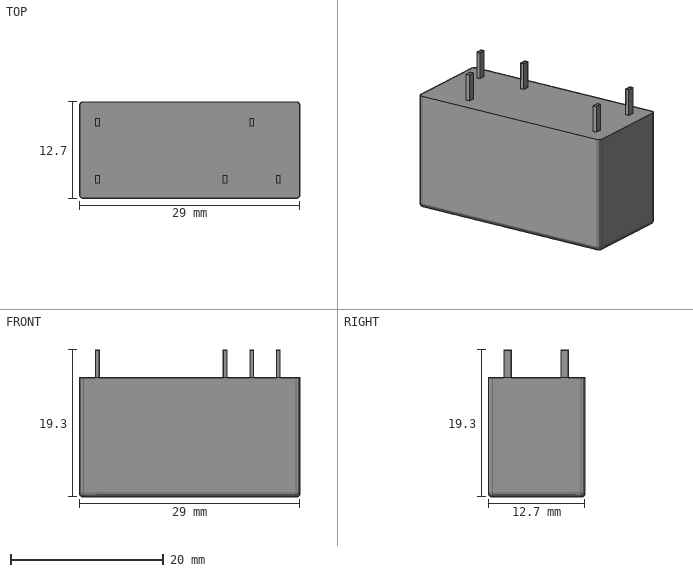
import cadquery as cq

case_length = 29.0
case_width = 12.7
case_height = 15.7
edge_radius = 0.5

pin_thickness = 0.5
pin_width = 1.0
pin_length = 3.6

row_spacing = 7.5
rear_row_inset = 2.68
rear_row_y = case_width / 2 - rear_row_inset
front_row_y = rear_row_y - row_spacing

coil_pin_inset = 2.35
coil_to_contact = 16.8
contact_pitch = 3.5
coil_x = -case_length / 2 + coil_pin_inset
first_contact_x = coil_x + coil_to_contact

pin_positions = [
    (coil_x, rear_row_y),
    (coil_x, front_row_y),
    (first_contact_x, front_row_y),
    (first_contact_x + contact_pitch, rear_row_y),
    (first_contact_x + 2 * contact_pitch, front_row_y),
]


def make_case():
    """Box with rounded upright and bottom edges and a sharp-edged terminal face."""
    box = cq.Workplane("XY").box(case_length, case_width, case_height, centered=(True, True, False))
    return box.edges("|Z or <Z").fillet(edge_radius)


def make_pins():
    """Rectangular pins rising from the terminal face."""
    return (
        cq.Workplane("XY", origin=(0, 0, case_height))
        .pushPoints(pin_positions)
        .rect(pin_thickness, pin_width)
        .extrude(pin_length)
    )


result = make_case().union(make_pins())